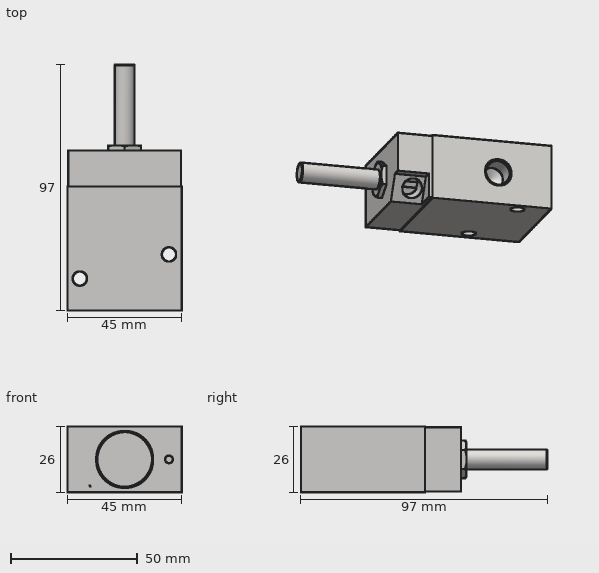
import cadquery as cq
import math


total_length = 97
body_width = 45.0
body_length = 48.9
body_height = 26.0

cap_inset = 0.3
cap_length = 14.2
cap_width = body_width - 2 * cap_inset
cap_height = body_height - 2 * cap_inset
cap_end = body_length + cap_length

nut_flats = 13.0
nut_half_side_angle = 30
nut_corners = nut_flats / math.cos(math.radians(nut_half_side_angle))
nut_thickness = 2.0
nut_chamfer_width = 0.8
nut_chamfer_angle = 30
rod_diameter = 8.0
rod_chamfer = 0.4

mounting_hole_diameter = 5.5
mounting_holes = [(-17.7, 12.6), (17.5, 22.1)]

port_y = 21.9
port_mouth_diameter = 9.7
port_end_diameter = 8.9
port_depth = 8.7
port_chamfer = 0.6
port_tip_angle = 118

plug_diameter = 21.5
plug_recess = 0.5
vent_x = 17.5
vent_diameter = 3.0
vent_depth = 1

relief_height = 9.7
relief_length = 12.7
relief_ceiling = 4.3
relief_angle = 30
screw_hole_diameter = 8.0
screw_hole_depth = 6.9
screw_hole_y = 55.2
screw_hole_z = -7.5
slot_width = 2.3
slot_depth = 0.9


def block(width, height, start, length):
    """Box centred on the Y axis, running from Y = start."""
    return cq.Workplane("XY").box(width, length, height).translate((0, start + length / 2, 0))


def rear_plane(y):
    """Sketch plane at the given Y whose normal points towards +Y."""
    return cq.Workplane(cq.Plane(origin=(0, y, 0), xDir=(1, 0, 0), normal=(0, 1, 0)))


def nut():
    """Hexagon with its corners up and down, chamfered on the rear end."""
    corner_radius = nut_corners / 2
    drop = nut_chamfer_width * math.tan(math.radians(nut_chamfer_angle))
    hexagon = rear_plane(cap_end).polygon(6, nut_corners).extrude(nut_thickness)
    hexagon = hexagon.rotate((0, 0, 0), (0, 1, 0), nut_half_side_angle)
    nut_end = cap_end + nut_thickness
    envelope = (
        cq.Workplane("XY")
        .moveTo(0, cap_end)
        .lineTo(corner_radius, cap_end)
        .lineTo(corner_radius, nut_end - drop)
        .lineTo(corner_radius - nut_chamfer_width, nut_end)
        .lineTo(0, nut_end)
        .close()
        .revolve(360, (0, 0, 0), (0, 1, 0))
    )
    return hexagon.intersect(envelope)


def rod():
    bar = rear_plane(cap_end).circle(rod_diameter / 2).extrude(total_length - cap_end)
    return bar.faces(">Y").chamfer(rod_chamfer)


def mounting_hole_cutter():
    return (
        cq.Workplane("XY", origin=(0, 0, -body_height / 2))
        .pushPoints(mounting_holes)
        .circle(mounting_hole_diameter / 2)
        .extrude(body_height)
    )


def port_cutter():
    """Chamfered, tapered blind hole along +X ending in a drill point."""
    mouth_radius = port_mouth_diameter / 2
    end_radius = port_end_diameter / 2
    tip_length = end_radius / math.tan(math.radians(port_tip_angle / 2))
    return (
        cq.Workplane("XY", origin=(-body_width / 2, port_y, 0))
        .lineTo(0, mouth_radius + port_chamfer)
        .lineTo(port_chamfer, mouth_radius)
        .lineTo(port_depth, end_radius)
        .lineTo(port_depth + tip_length, 0)
        .close()
        .revolve(360, (0, 0, 0), (1, 0, 0))
    )


def plug_seat_cutter():
    """Shallow round recess with a 45 degree rim."""
    seat = rear_plane(0).circle(plug_diameter / 2 + plug_recess)
    return seat.extrude(plug_recess, taper=45)


def vent_cutter():
    return rear_plane(0).center(vent_x, 0).circle(vent_diameter / 2).extrude(vent_depth)


def relief_cutter():
    """Notch with a flat ceiling and a face sloping inwards towards the bottom of the cap."""
    left = -cap_width / 2
    bottom = -cap_height / 2
    undercut = relief_height * math.tan(math.radians(relief_angle))
    return (
        cq.Workplane("XZ", origin=(0, cap_end, 0))
        .moveTo(left, bottom)
        .lineTo(left, bottom + relief_height)
        .lineTo(left + relief_ceiling, bottom + relief_height)
        .lineTo(left + relief_ceiling + undercut, bottom)
        .close()
        .extrude(relief_length)
    )


def screw_hole_cutter():
    """Blind hole square to the sloped face, with the screw's slot in its floor."""
    slope = math.radians(relief_angle)
    depth_below_ceiling = relief_height - cap_height / 2 - screw_hole_z
    centre_x = -cap_width / 2 + relief_ceiling + depth_below_ceiling * math.tan(slope)
    inward = (math.cos(slope), 0, math.sin(slope))
    face = cq.Plane(origin=(centre_x, screw_hole_y, screw_hole_z), xDir=(0, 1, 0), normal=inward)
    full_depth = screw_hole_depth + slot_depth
    bore = cq.Workplane(face).circle(screw_hole_diameter / 2).extrude(screw_hole_depth)
    deep_bore = cq.Workplane(face).circle(screw_hole_diameter / 2).extrude(full_depth)
    slot = cq.Workplane(face).rect(screw_hole_diameter, slot_width).extrude(full_depth)
    return bore.union(deep_bore.intersect(slot))


body = block(body_width, body_height, 0, body_length)
body = body.cut(mounting_hole_cutter())
body = body.cut(port_cutter())
body = body.cut(plug_seat_cutter())
body = body.cut(vent_cutter())

cap = block(cap_width, cap_height, body_length, cap_length)
cap = cap.cut(relief_cutter())
cap = cap.cut(screw_hole_cutter())

result = body.union(cap).union(nut()).union(rod())